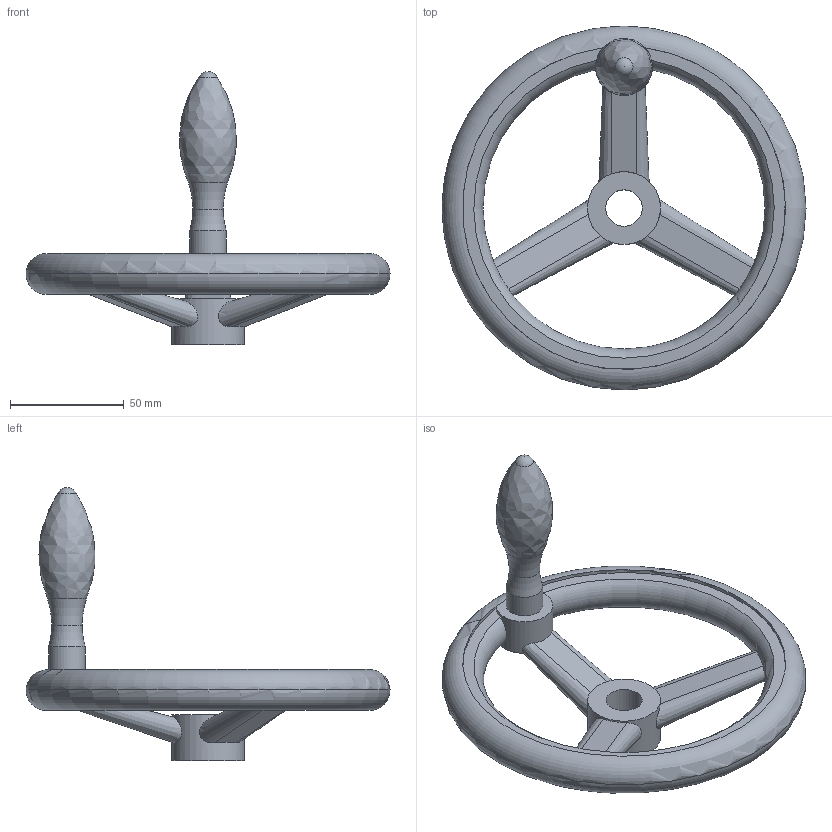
import cadquery as cq
import math

RIM_OUTER_RADIUS = 80.0
RIM_TUBE_RADIUS = 9.0
RIM_CENTER_RADIUS = RIM_OUTER_RADIUS - RIM_TUBE_RADIUS
RIM_TOP_Z = 40.0
RIM_MID_Z = RIM_TOP_Z - RIM_TUBE_RADIUS
LAND_DEPTH = 1.5
LAND_Z = RIM_TOP_Z - LAND_DEPTH

HUB_RADIUS = 16.0
HUB_HEIGHT = 20.0
BORE_RADIUS = 8.0

SPOKE_COUNT = 3
SPOKE_FIRST_ANGLE = 90.0
SPOKE_FLAT_WIDTH = 11.0
SPOKE_AXIS_Z = 9.0
SPOKE_AXIS_EDGE_RADIUS = 6.0
SPOKE_RIM_Z = 30.0
SPOKE_RIM_EDGE_RADIUS = 3.2

HANDLE_OFFSET = 62.0
BOSS_RADIUS = 12.5
BOSS_TOP_Z = RIM_TOP_Z
BOSS_BOTTOM_Z = 23.0

COLLAR_RADIUS = 8.0
COLLAR_TOP_Z = 50.0
WAIST_RADIUS = 6.7
WAIST_Z = 59.5
BARREL_RADIUS = 12.5
BARREL_MID_Z = 90.0
BARREL_START_RADIUS = 8.5
BARREL_START_Z = 71.0
TIP_RADIUS = 4.0
TIP_START_Z = 117.4
HANDLE_TOP_Z = 120.0


def rim_section_point(angle):
    """Point on the round rim section, with the angle in degrees from the outward direction."""
    turn = math.radians(angle)
    return (
        RIM_CENTER_RADIUS + RIM_TUBE_RADIUS * math.cos(turn),
        RIM_MID_Z + RIM_TUBE_RADIUS * math.sin(turn),
    )


def make_rim():
    land_angle = 180 - math.degrees(math.asin((LAND_Z - RIM_MID_Z) / RIM_TUBE_RADIUS))
    section = (
        cq.Workplane("XZ")
        .moveTo(*rim_section_point(90))
        .threePointArc(rim_section_point(45), rim_section_point(0))
        .threePointArc(rim_section_point(-90), rim_section_point(-180))
        .threePointArc(rim_section_point((180 + land_angle) / 2), rim_section_point(land_angle))
        .lineTo(RIM_CENTER_RADIUS, LAND_Z)
        .close()
    )
    return section.revolve(360, (0, 0, 0), (0, 1, 0))


def make_hub():
    return cq.Workplane("XY").circle(HUB_RADIUS).extrude(HUB_HEIGHT)


def make_spoke(angle):
    rise = SPOKE_RIM_Z - SPOKE_AXIS_Z
    axis_plane = cq.Plane(
        origin=(0, 0, SPOKE_AXIS_Z), xDir=(0, 1, 0), normal=(RIM_CENTER_RADIUS, 0, rise)
    )
    length = math.hypot(RIM_CENTER_RADIUS, rise)
    axis_width = SPOKE_FLAT_WIDTH + 2 * SPOKE_AXIS_EDGE_RADIUS
    rim_width = SPOKE_FLAT_WIDTH + 2 * SPOKE_RIM_EDGE_RADIUS
    spoke = (
        cq.Workplane(axis_plane)
        .slot2D(axis_width, 2 * SPOKE_AXIS_EDGE_RADIUS)
        .workplane(offset=length)
        .slot2D(rim_width, 2 * SPOKE_RIM_EDGE_RADIUS)
        .loft(ruled=True)
    )
    return spoke.rotate((0, 0, 0), (0, 0, 1), angle)


def make_boss():
    height = BOSS_TOP_Z - BOSS_BOTTOM_Z
    boss = (
        cq.Workplane("XY", origin=(0, HANDLE_OFFSET, BOSS_BOTTOM_Z))
        .circle(BOSS_RADIUS)
        .extrude(height)
    )
    rim_crest_disc = (
        cq.Workplane("XY", origin=(0, 0, BOSS_BOTTOM_Z)).circle(RIM_CENTER_RADIUS).extrude(height)
    )
    return boss.intersect(rim_crest_disc)


def waist_arc_middle(end_radius, end_z):
    """Middle of an arc that leaves the waist parallel to the handle axis and reaches the given end."""
    widening = end_radius - WAIST_RADIUS
    rise = end_z - WAIST_Z
    arc_radius = (widening**2 + rise**2) / (2 * widening)
    half_angle = math.asin(rise / arc_radius) / 2
    middle_radius = WAIST_RADIUS + arc_radius * (1 - math.cos(half_angle))
    return middle_radius, WAIST_Z + arc_radius * math.sin(half_angle)


def tip_arc_middle():
    """Middle of the spherical dome arc between the barrel end and the handle top."""
    height = HANDLE_TOP_Z - TIP_START_Z
    dome_radius = (TIP_RADIUS**2 + height**2) / (2 * height)
    half_angle = math.asin(TIP_RADIUS / dome_radius) / 2
    drop = dome_radius * (1 - math.cos(half_angle))
    return dome_radius * math.sin(half_angle), HANDLE_TOP_Z - drop


def make_handle():
    profile = (
        cq.Workplane("XZ", origin=(0, HANDLE_OFFSET, 0))
        .moveTo(0, BOSS_BOTTOM_Z)
        .lineTo(COLLAR_RADIUS, BOSS_BOTTOM_Z)
        .lineTo(COLLAR_RADIUS, COLLAR_TOP_Z)
        .threePointArc(waist_arc_middle(COLLAR_RADIUS, COLLAR_TOP_Z), (WAIST_RADIUS, WAIST_Z))
        .threePointArc(
            waist_arc_middle(BARREL_START_RADIUS, BARREL_START_Z),
            (BARREL_START_RADIUS, BARREL_START_Z),
        )
        .threePointArc((BARREL_RADIUS, BARREL_MID_Z), (TIP_RADIUS, TIP_START_Z))
        .threePointArc(tip_arc_middle(), (0, HANDLE_TOP_Z))
        .close()
    )
    return profile.revolve(360, (0, 0, 0), (0, 1, 0))


wheel = make_rim().union(make_hub())
for spoke_index in range(SPOKE_COUNT):
    wheel = wheel.union(make_spoke(SPOKE_FIRST_ANGLE + spoke_index * 360 / SPOKE_COUNT))

bore = cq.Workplane("XY").circle(BORE_RADIUS).extrude(HUB_HEIGHT)
result = wheel.cut(bore).union(make_boss()).union(make_handle())